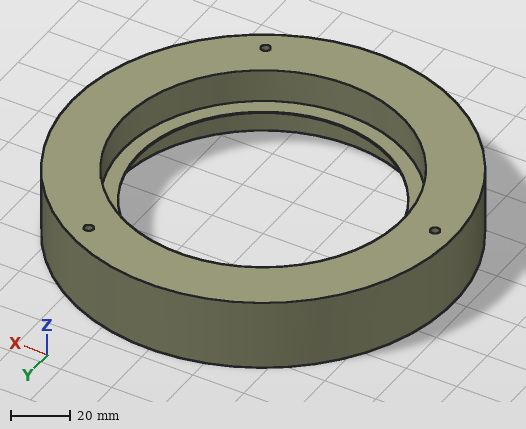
import cadquery as cq

outer_diameter = 150.0
height = 27.5

seat_diameter = 110.0
seat_depth = 13.0
opening_diameter = 98.0
lip_thickness = 0.5
recess_diameter = 115.14
recess_depth = height - seat_depth - lip_thickness

screw_hole_diameter = 3.4
screw_circle_diameter = 135.0
screw_hole_count = 3
first_screw_angle = 180.0


def disc(diameter, bottom, thickness):
    """Round disc on the Z axis, rising from the height 'bottom'."""
    return cq.Workplane("XY").workplane(offset=bottom).circle(diameter / 2).extrude(thickness)


def stepped_bore():
    opening = disc(opening_diameter, 0, height)
    seat = disc(seat_diameter, height - seat_depth, seat_depth)
    recess = disc(recess_diameter, 0, recess_depth)
    return opening.union(seat).union(recess)


def screw_holes():
    return (
        cq.Workplane("XY")
        .polarArray(screw_circle_diameter / 2, first_screw_angle, 360, screw_hole_count)
        .circle(screw_hole_diameter / 2)
        .extrude(height)
    )


ring_body = disc(outer_diameter, 0, height)
result = ring_body.cut(stepped_bore()).cut(screw_holes())